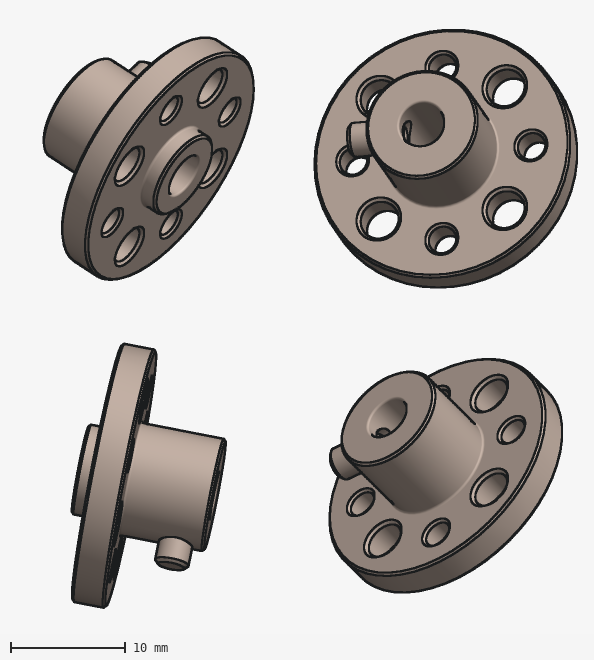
import cadquery as cq
import math

flange_diameter = 23.0
flange_thickness = 3.0
hub_diameter = 10.0
hub_length = 7.5
spigot_diameter = 8.0
spigot_length = 1.52
bore_diameter = 4.0
bore_round = 0.2
edge_chamfer = 0.2
root_fillet = 0.2

pitch_radius = 8.0
holes_per_set = 4
small_hole_diameter = 2.45
small_hole_chamfer = 0.25
large_hole_diameter = 3.4
large_hole_chamfer = 0.3

screw_diameter = 3.0
screw_length = 5.0
screw_head_radius = 7.02
screw_head_chamfer = 0.32
screw_tip_diameter = 1.4
cup_depth = 0.41
screw_hole_diameter = 2.45
screw_from_hub_end = 2.5

hub_end = -hub_length
spigot_end = flange_thickness + spigot_length
screw_x = hub_end + screw_from_hub_end
screw_tip_radius = screw_head_radius - screw_length
screw_taper = (screw_diameter - screw_tip_diameter) / 2


def disc(diameter, x_start, x_end):
    """Cylinder about the X axis between two X positions."""
    return cq.Workplane("YZ", origin=(x_start, 0, 0)).circle(diameter / 2).extrude(x_end - x_start)


def chamfered_hole(diameter, chamfer, x_start, x_end, y, z):
    """Cutter parallel to X for a through hole with a chamfer at both mouths."""
    radius = diameter / 2
    mouth = radius + chamfer
    profile = [
        (x_start, 0),
        (x_start, mouth),
        (x_start + chamfer, radius),
        (x_end - chamfer, radius),
        (x_end, mouth),
        (x_end, 0),
    ]
    cutter = cq.Workplane("XY").polyline(profile).close().revolve(360, (0, 0, 0), (1, 0, 0))
    return cutter.translate((0, y, z))


def turned_on_screw_axis(profile):
    """Solid turned about the set screw axis from (radius, Y) points."""
    outline = cq.Workplane("XY").polyline(profile).close()
    return outline.revolve(360, (0, 0, 0), (0, 1, 0)).translate((screw_x, 0, 0))


def screw_blank():
    """Set screw envelope: a cylinder with a 45 degree tapered tip and a chamfered head."""
    radius = screw_diameter / 2
    return turned_on_screw_axis([
        (0, screw_tip_radius),
        (screw_tip_diameter / 2, screw_tip_radius),
        (radius, screw_tip_radius + screw_taper),
        (radius, screw_head_radius - screw_head_chamfer),
        (radius - screw_head_chamfer, screw_head_radius),
        (0, screw_head_radius),
    ])


def make_hub_blank():
    """Hub, flange and spigot with chamfered rims and filleted roots."""
    hub = disc(hub_diameter, hub_end, 0).faces("<X").chamfer(edge_chamfer)
    flange = disc(flange_diameter, 0, flange_thickness).edges().chamfer(edge_chamfer)
    spigot = disc(spigot_diameter, flange_thickness, spigot_end).faces(">X").chamfer(edge_chamfer)
    blank = hub.union(flange).union(spigot)
    for x, diameter in ((0, hub_diameter), (flange_thickness, spigot_diameter)):
        reach = diameter / 2 + root_fillet
        low_corner = (x - root_fillet / 2, -reach, -reach)
        high_corner = (x + root_fillet / 2, reach, reach)
        root_box = cq.selectors.BoxSelector(low_corner, high_corner, boundingbox=True)
        blank = blank.edges(root_box).fillet(root_fillet)
    return blank


def cut_flange_holes(body, diameter, chamfer, start_angle):
    """Cut one evenly spaced set of holes through the flange."""
    for index in range(holes_per_set):
        angle = start_angle + index * 2 * math.pi / holes_per_set
        y = pitch_radius * math.cos(angle)
        z = pitch_radius * math.sin(angle)
        body = body.cut(chamfered_hole(diameter, chamfer, 0, flange_thickness, y, z))
    return body


def bore_cutter():
    """Cutter for the through bore with rounded mouths."""
    radius = bore_diameter / 2
    mouth = radius + bore_round
    offset = bore_round * (1 - math.sqrt(0.5))
    outline = (
        cq.Workplane("XY")
        .moveTo(hub_end, 0)
        .lineTo(hub_end, mouth)
        .threePointArc((hub_end + offset, radius + offset), (hub_end + bore_round, radius))
        .lineTo(spigot_end - bore_round, radius)
        .threePointArc((spigot_end - offset, radius + offset), (spigot_end, mouth))
        .lineTo(spigot_end, 0)
        .close()
    )
    return outline.revolve(360, (0, 0, 0), (1, 0, 0))


def cut_screw_seat(body):
    """Cut a hole from the bore into the +Y wall, widening to a seat that fits the set screw."""
    hole_radius = screw_hole_diameter / 2
    hole_end = screw_tip_radius + screw_taper
    hole = turned_on_screw_axis([(0, 0), (hole_radius, 0), (hole_radius, hole_end), (0, hole_end)])
    return body.cut(hole).cut(screw_blank())


def make_flanged_hub():
    body = make_hub_blank().cut(bore_cutter())
    body = cut_flange_holes(body, small_hole_diameter, small_hole_chamfer, 0)
    body = cut_flange_holes(body, large_hole_diameter, large_hole_chamfer, math.pi / holes_per_set)
    return cut_screw_seat(body)


def make_set_screw():
    cup = turned_on_screw_axis([
        (0, screw_tip_radius),
        (screw_tip_diameter / 2, screw_tip_radius),
        (0, screw_tip_radius + cup_depth),
    ])
    return screw_blank().cut(cup)


flanged_hub = make_flanged_hub()
set_screw = make_set_screw()
result = cq.Compound.makeCompound([flanged_hub.val(), set_screw.val()])